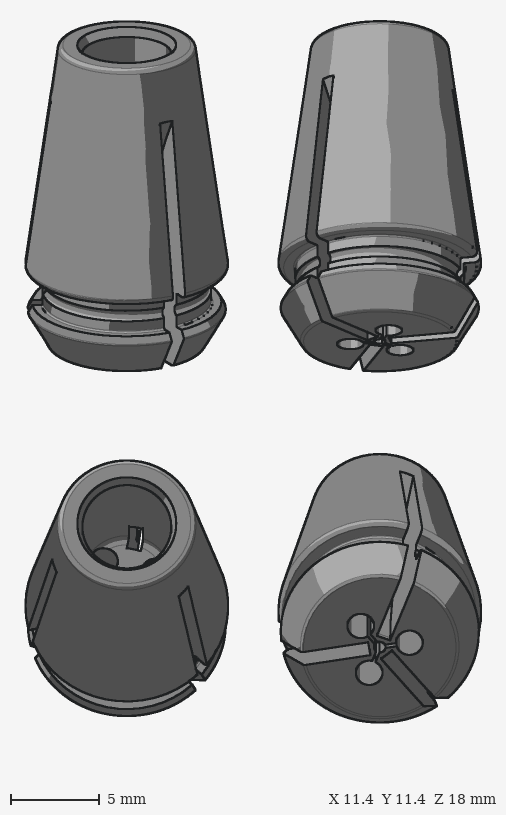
import cadquery as cq
import math

length = 18.0
axis_x = 0.0
base_z = 0.0
full_turn = 360.0

taper_half_angle = 8.0
taper_bottom_z = 4.5
taper_bottom_radius = 11.5 / 2
taper_edge_fillet = 0.3

neck_radius = 9.5 / 2
neck_bottom_z = 2.5
neck_corner_fillet = 0.1
groove_z = (taper_bottom_z + neck_bottom_z) / 2
groove_half_width = 0.32
groove_bottom_radius = 4.54

flange_half_angle = 30.0
flange_base_radius = 8.8 / 2
flange_rim_z = 2.05
flange_slope = math.tan(math.radians(flange_half_angle))
flange_rim_radius = flange_base_radius + flange_rim_z * flange_slope
flange_top_radius = flange_rim_radius - (neck_bottom_z - flange_rim_z) * flange_slope
flange_rim_fillet = 0.1
flange_base_fillet = 0.2

bore_radius = 5.0 / 2
bore_floor_z = length / 2
bore_floor_fillet = 0.4
bore_mouth_radius = 2.78
bore_mouth_depth = 0.5

center_hole_diameter = 0.65
relief_hole_diameter = 1.5
relief_hole_position = 1.69
slit_width = 0.2

slot_width = 0.8
slot_inner_radius = 0.6
slot_top_z = 14.8
slot_saw_radius = 30.0
slot_outer_reach = 2 * taper_bottom_radius

jaw_count = 3
jaw_pitch = full_turn / jaw_count
relief_start_angle = jaw_pitch / 2


def taper_radius(z):
    """Radius of the long outer taper at height z."""
    return taper_bottom_radius - (z - taper_bottom_z) * math.tan(math.radians(taper_half_angle))


def edges_at(body, radius, z):
    """Select the largest circular edge at height z that is no wider than the given radius."""
    margin = 0.01
    low = (-radius - margin, -radius - margin, z - margin)
    high = (radius + margin, radius + margin, z + margin)
    rims = body.edges(cq.selectors.BoxSelector(low, high, boundingbox=True))
    return rims.edges(cq.selectors.RadiusNthSelector(-1))


def revolved_blank():
    """Turn the outer shape and round its edges."""
    taper_top_radius = taper_radius(length)
    blank = (
        cq.Workplane("XZ")
        .moveTo(axis_x, base_z)
        .lineTo(flange_base_radius, base_z)
        .lineTo(flange_rim_radius, flange_rim_z)
        .lineTo(flange_top_radius, neck_bottom_z)
        .lineTo(neck_radius, neck_bottom_z)
        .lineTo(neck_radius, groove_z - groove_half_width)
        .threePointArc((groove_bottom_radius, groove_z), (neck_radius, groove_z + groove_half_width))
        .lineTo(neck_radius, taper_bottom_z)
        .lineTo(taper_bottom_radius, taper_bottom_z)
        .lineTo(taper_top_radius, length)
        .lineTo(axis_x, length)
        .close()
        .revolve(full_turn, (axis_x, base_z), (axis_x, length))
    )
    rounded_edges = (
        (flange_base_radius, base_z, flange_base_fillet),
        (flange_rim_radius, flange_rim_z, flange_rim_fillet),
        (neck_radius, neck_bottom_z, neck_corner_fillet),
        (neck_radius, taper_bottom_z, neck_corner_fillet),
        (taper_bottom_radius, taper_bottom_z, taper_edge_fillet),
        (taper_top_radius, length, taper_edge_fillet),
    )
    for radius, z, fillet in rounded_edges:
        blank = edges_at(blank, radius, z).fillet(fillet)
    return blank


def bore():
    """Blind bore with a rounded floor corner and a steep chamfer at its mouth."""
    straight = (
        cq.Workplane("XY", origin=(0, 0, bore_floor_z))
        .circle(bore_radius)
        .extrude(length - bore_floor_z)
        .faces("<Z")
        .edges()
        .fillet(bore_floor_fillet)
    )
    mouth = (
        cq.Workplane("XY", origin=(0, 0, length - bore_mouth_depth))
        .circle(bore_radius)
        .workplane(offset=bore_mouth_depth)
        .circle(bore_mouth_radius)
        .loft()
    )
    return straight.union(mouth)


def floor_opening(angle):
    """Relief hole at the given angle, cut up through the floor fillet, and its slit to the axis."""
    hole = (
        cq.Workplane("XY")
        .center(relief_hole_position, 0)
        .circle(relief_hole_diameter / 2)
        .extrude(bore_floor_z + bore_floor_fillet)
    )
    slit = cq.Workplane("XY").box(
        relief_hole_position, slit_width, bore_floor_z, centered=(False, True, False)
    )
    return hole.union(slit).rotate((0, 0, 0), (0, 0, 1), angle)


def center_hole():
    """Small hole on the axis through the bore floor."""
    return cq.Workplane("XY").circle(center_hole_diameter / 2).extrude(bore_floor_z)


def outer_slot(angle):
    """Slot open at the wide end, with a straight floor that curves outward to its upper end."""
    end_radius = taper_radius(slot_top_z)
    saw_center_r = slot_inner_radius + slot_saw_radius
    saw_center_z = slot_top_z - math.sqrt(slot_saw_radius**2 - (saw_center_r - end_radius) ** 2)
    half_sweep = math.asin((slot_top_z - saw_center_z) / slot_saw_radius) / 2
    arc_middle = (
        saw_center_r - slot_saw_radius * math.cos(half_sweep),
        saw_center_z + slot_saw_radius * math.sin(half_sweep),
    )
    slot = (
        cq.Workplane("XZ")
        .moveTo(slot_inner_radius, base_z)
        .lineTo(slot_inner_radius, saw_center_z)
        .threePointArc(arc_middle, (end_radius, slot_top_z))
        .lineTo(slot_outer_reach, slot_top_z)
        .lineTo(slot_outer_reach, base_z)
        .close()
        .extrude(slot_width / 2, both=True)
    )
    return slot.rotate((0, 0, 0), (0, 0, 1), angle)


result = revolved_blank().cut(bore()).cut(center_hole())
for jaw in range(jaw_count):
    result = result.cut(outer_slot(jaw * jaw_pitch))
    result = result.cut(floor_opening(relief_start_angle + jaw * jaw_pitch))